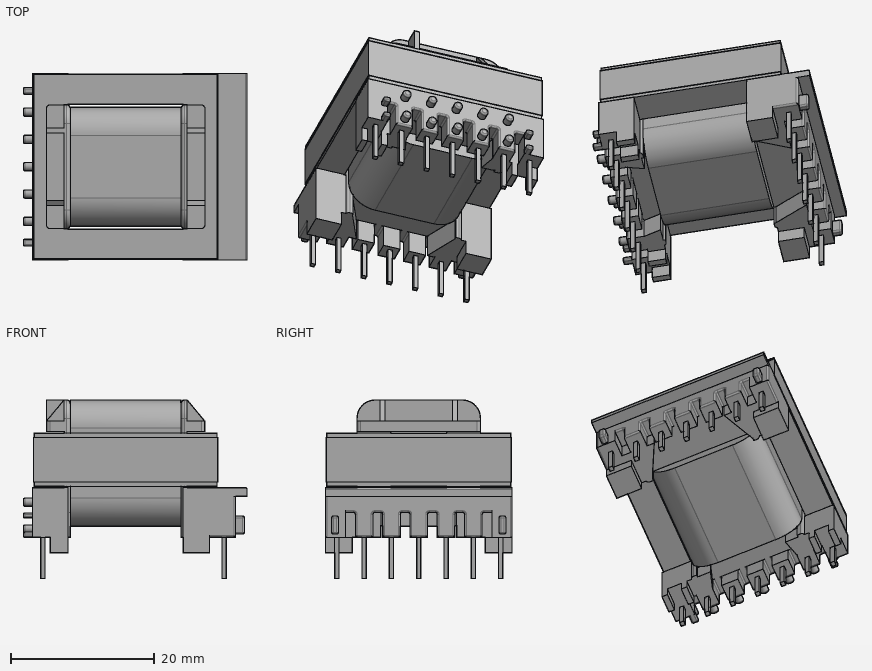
import cadquery as cq


core_half_x = 12.9
core_half_y = 12.95
core_half_z = 3.72
band_half_z = 3.13
band_step = 0.1
window_half_x = 8.6
window_half_y = 8.73
leg_half_y = 3.88
bore_half_z = 3.9

winding_half_x = 7.73
winding_half_y = 8.32
winding_top = 8.35
winding_bottom = -9.32
winding_radius = 3.95
former_half_y = 8.65
flange_radius = 2.57
opening_half_y = 7.65
flange_rim = 0.5

shelf_reach = 2.47
shelf_top = 5.38
shelf_radius = 0.5
rib_y = 5.07
rib_width = 0.75

foot_width = 26.13
foot_half_y = foot_width / 2
foot_top = -bore_half_z
foot_bottom = -10.85
foot_inner_x = 8.05
left_face_x = -13.05
right_face_x = 15.35
toe_bottom = -13.02
toe_width = 3.8
left_toe_x = -10.55
right_toe_x = 11.73
toe_notch_margin = 0.85
lip_end_x = 17.0
lip_bottom = -5.13
lip_round = 0.25

pitch = 3.82
pin_rows = 7
slot_count = pin_rows - 1
slot_width = 1.35
slot_top = -7.4
slot_radius = 0.25
tooth_round = 0.25
zone_margin = 0.03
tooth_depth = left_toe_x - left_face_x
left_pocket_half_y = (6.45, 5.7)
right_pocket_half_y = (5.3, opening_half_y)

pin_size = 0.63
overall_height = 24.97
pin_bottom = winding_top - overall_height
left_pin_x = -11.58
right_pin_x = 13.77
peg_length = 1.25
peg_diameter = 1.2
peg_round = 0.25
peg_heights = (-5.95, -9.7)
key_width = 0.97
key_height = 0.72
key_round = 0.22
key_y = 10.6
key_heights = (-7.8, foot_bottom + key_height / 2)
stop_length = 1.25
stop_width = 0.95
stop_height = 2.55
stop_y = 11.7
stop_z = -9.15


def box(x, y, z):
    """Box spanning three (low, high) ranges."""
    return cq.Workplane("XY").box(
        x[1] - x[0], y[1] - y[0], z[1] - z[0], centered=False
    ).translate((x[0], y[0], z[0]))


def centred(half):
    """Range from -half to half."""
    return (-half, half)


def row_y(index, count):
    """Y of one of `count` places spaced evenly about the middle."""
    return (index - (count - 1) / 2) * pitch


def make_core():
    inset_x = core_half_x - band_step
    inset_y = core_half_y - band_step
    core = box(centred(core_half_x), centred(core_half_y), centred(band_half_z))
    core = core.union(box(centred(inset_x), centred(inset_y), centred(core_half_z)))
    for y in ((leg_half_y, window_half_y), (-window_half_y, -leg_half_y)):
        core = core.cut(box(centred(window_half_x), y, centred(core_half_z)))
    return core


def make_winding():
    winding = box(centred(winding_half_x), centred(winding_half_y), (winding_bottom, winding_top))
    return winding.edges("|X").fillet(winding_radius)


def make_flange(side):
    """End flange, reaching down to the bottom of the foot on its side."""
    inner = side * winding_half_x
    outer = side * window_half_x
    flange = box(sorted((inner, outer)), centred(former_half_y), (foot_bottom, winding_top))
    flange = flange.edges("|X and >Z").fillet(flange_radius)
    flange = flange.faces("<X" if side > 0 else ">X").edges("not <Z").fillet(flange_rim)
    return flange.cut(box(sorted((inner, outer)), centred(opening_half_y), (foot_bottom, slot_top)))


def make_shelf(side):
    inner = side * window_half_x
    outer = inner + side * shelf_reach
    shelf = box(sorted((inner, outer)), centred(former_half_y), (bore_half_z, shelf_top))
    return shelf.edges("|Z and " + (">X" if side > 0 else "<X")).fillet(shelf_radius)


def make_rib(side, y, sloped):
    inner = side * window_half_x
    outer = inner + side * shelf_reach
    outline = [(inner, shelf_top), (outer, shelf_top), (inner, winding_top)]
    if not sloped:
        outline.insert(2, (outer, winding_top))
    rib = cq.Workplane("XZ").polyline(outline).close().extrude(rib_width / 2, both=True)
    return rib.translate((0, y, 0))


def make_foot(side, face_x, toe_x, pocket_half_y):
    """Foot with slots between its teeth and a tapered pocket behind the middle slots."""
    inner = side * foot_inner_x
    foot = box(sorted((face_x, inner)), centred(foot_half_y), (foot_bottom, foot_top))
    tooth_back = face_x - side * tooth_depth
    for i in range(slot_count):
        y = row_y(i, slot_count)
        slot = box(
            sorted((face_x, tooth_back)),
            (y - slot_width / 2, y + slot_width / 2),
            (foot_bottom, slot_top),
        )
        rounded = "|X and >Z"
        if i == 0:
            rounded += " and >Y"
        elif i == slot_count - 1:
            rounded += " and <Y"
        foot = foot.cut(slot.edges(rounded).fillet(slot_radius))
    outermost_y = row_y(slot_count - 1, slot_count) + slot_width / 2
    zone_y = outermost_y - zone_margin
    rounding_zone = cq.selectors.BoxSelector(
        (face_x - zone_margin, -zone_y, foot_bottom - zone_margin),
        (face_x + zone_margin, zone_y, slot_top + zone_margin),
    )
    foot = foot.edges(rounding_zone).fillet(tooth_round)
    if side > 0:
        foot = foot.edges("(<Y or >Y) and (>X or <Z)").fillet(tooth_round)
    back_half_y, flange_half_y = pocket_half_y
    pocket = (
        cq.Workplane("XY", origin=(0, 0, foot_bottom))
        .polyline([
            (tooth_back, -back_half_y),
            (tooth_back, back_half_y),
            (inner, flange_half_y),
            (inner, -flange_half_y),
        ])
        .close()
        .extrude(slot_top - foot_bottom)
    )
    foot = foot.cut(pocket)
    for y in ((foot_half_y - toe_width, foot_half_y), (-foot_half_y, toe_width - foot_half_y)):
        toe = box(sorted((toe_x, inner)), y, (toe_bottom, foot_bottom + tooth_round))
        if side < 0:
            notch_y = (y[0] + toe_notch_margin, y[1] - toe_notch_margin)
            toe = toe.cut(box((toe_x, inner), notch_y, (toe_bottom, foot_bottom)))
        foot = foot.union(toe)
    return foot


def make_lip():
    lip = box((foot_inner_x, lip_end_x), centred(foot_half_y), (lip_bottom, foot_top))
    return lip.edges(">X and >Z").fillet(lip_round)


def make_pin(x, y):
    half = pin_size / 2
    return box((x - half, x + half), (y - half, y + half), (pin_bottom, foot_bottom))


def make_peg(y, z):
    peg = cq.Workplane("YZ").circle(peg_diameter / 2).extrude(-peg_length)
    return peg.faces("<X").edges().fillet(peg_round).translate((left_face_x, y, z))


def make_key(y, z):
    key = cq.Workplane("YZ").rect(key_width, key_height).extrude(-peg_length)
    key = key.edges("|X").fillet(key_round)
    key = key.faces("<X").edges().fillet(key_round)
    return key.translate((left_face_x, y, z))


def make_stop(y):
    stop = cq.Workplane("YZ").rect(stop_width, stop_height).extrude(stop_length)
    return stop.edges("|X or >X").fillet(peg_round).translate((right_face_x, y, stop_z))


def make_coil_former():
    former = make_winding()
    former = former.union(make_foot(-1, left_face_x, left_toe_x, left_pocket_half_y))
    former = former.union(make_foot(1, right_face_x, right_toe_x, right_pocket_half_y))
    former = former.union(make_lip())
    for side in (-1, 1):
        former = former.union(make_flange(side)).union(make_shelf(side))
        for y in (-rib_y, rib_y):
            former = former.union(make_rib(side, y, sloped=(side > 0 or y < 0)))
    for i in range(pin_rows):
        y = row_y(i, pin_rows)
        former = former.union(make_pin(left_pin_x, y)).union(make_pin(right_pin_x, y))
        if 0 < i < pin_rows - 1:
            for z in peg_heights:
                former = former.union(make_peg(y, z))
    for side in (-1, 1):
        for z in key_heights:
            former = former.union(make_key(side * key_y, z))
        former = former.union(make_stop(side * stop_y))
    return former.cut(box(centred(window_half_x), centred(leg_half_y), centred(bore_half_z)))


core = make_core()
coil_former = make_coil_former()
result = cq.Compound.makeCompound([core.val(), coil_former.val()])